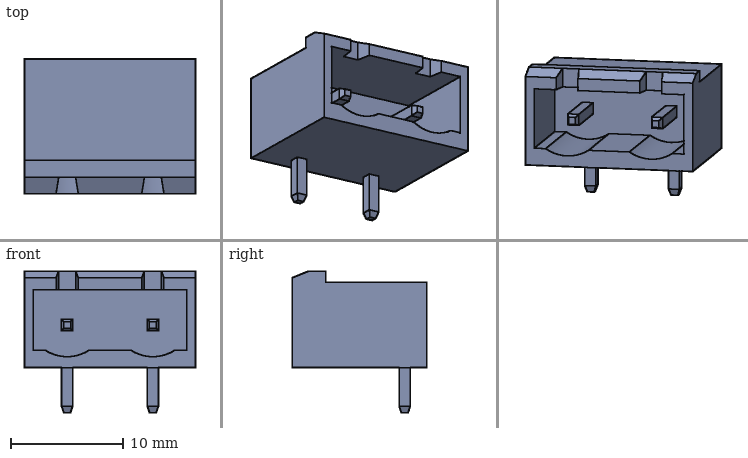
import cadquery as cq

width = 15.24
depth = 12.0
total_height = 12.6
body_height = 7.6
lip_height = 8.6
lip_depth = 3.0
lip_chamfer_depth = 1.5
lip_chamfer_drop = 0.6
front_y = -depth / 2
back_y = depth / 2

cavity_width = 13.62
cavity_floor = 1.55
cavity_top = 6.92
cavity_depth = 8.5
channel_width = 3.9
channel_sag = 0.58

notch_front_width = 1.98
notch_back_width = 1.5

pin_pitch = 7.62
pin_size = 1.0
pin_tip_size = 0.61
pin_tip_length = 0.6
contact_z = 3.8
contact_setback = 2.0
leg_length = total_height - lip_height
leg_y = back_y - 1.98
contact_positions = (-pin_pitch / 2, pin_pitch / 2)


def make_housing():
    """Extrude the side profile with its raised, chamfered front lip."""
    profile = [
        (front_y, 0),
        (back_y, 0),
        (back_y, body_height),
        (front_y + lip_depth, body_height),
        (front_y + lip_depth, lip_height),
        (front_y + lip_chamfer_depth, lip_height),
        (front_y, lip_height - lip_chamfer_drop),
    ]
    return cq.Workplane("YZ").polyline(profile).close().extrude(width / 2, both=True)


def make_cavity():
    """Cavity outline, with an arc dipping below the floor at each contact."""
    half_width = cavity_width / 2
    outline = (
        cq.Workplane("XZ", origin=(0, front_y, 0))
        .moveTo(-half_width, cavity_top)
        .lineTo(-half_width, cavity_floor)
    )
    for x in contact_positions:
        outline = outline.lineTo(x - channel_width / 2, cavity_floor).threePointArc(
            (x, cavity_floor - channel_sag), (x + channel_width / 2, cavity_floor)
        )
    outline = outline.lineTo(half_width, cavity_floor).lineTo(half_width, cavity_top)
    return outline.close().extrude(-cavity_depth)


def make_notch(x):
    """Tapered notch from the cavity up through the chamfered lip."""
    notch_back_y = front_y + lip_chamfer_depth
    outline = [
        (x - notch_front_width / 2, front_y),
        (x + notch_front_width / 2, front_y),
        (x + notch_back_width / 2, notch_back_y),
        (x - notch_back_width / 2, notch_back_y),
    ]
    notch_bottom = (cavity_floor + cavity_top) / 2
    return (
        cq.Workplane("XY", origin=(0, 0, notch_bottom))
        .polyline(outline)
        .close()
        .extrude(lip_height - notch_bottom)
    )


def make_pin(start, direction, length):
    """Square pin running from start along direction, ending in a tapered tip."""
    base = cq.Workplane(cq.Plane(origin=start, xDir=(1, 0, 0), normal=direction))
    shank_length = length - pin_tip_length
    shank = base.rect(pin_size, pin_size).extrude(shank_length)
    tip = (
        base.workplane(offset=shank_length)
        .rect(pin_size, pin_size)
        .workplane(offset=pin_tip_length)
        .rect(pin_tip_size, pin_tip_size)
        .loft(combine=True)
    )
    return shank.union(tip)


result = make_housing().cut(make_cavity())
for pin_x in contact_positions:
    result = result.cut(make_notch(pin_x))

contact_length = leg_y - front_y - contact_setback
for pin_x in contact_positions:
    corner = (pin_x, leg_y, contact_z)
    result = result.union(make_pin(corner, (0, -1, 0), contact_length))
    result = result.union(make_pin(corner, (0, 0, -1), contact_z + leg_length))